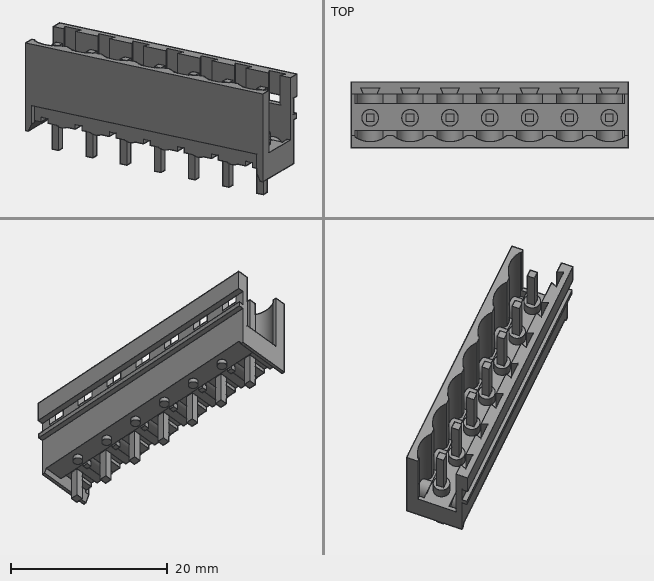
import cadquery as cq


length = 35.35
depth = 8.4
height = 12.0
floor_top = 3.5
half_length = length / 2

front_wall = 1.55
back_wall_inner = 6.82
back_face = 7.65
lip_bottom = 8.95
rib_bottom = 5.98
rib_height = 0.7
rib_reach = 8.3

pole_count = 7
end_margin = 2.45
pitch = (length - 2 * end_margin) / (pole_count - 1)
pole_positions = [pitch * (i - (pole_count - 1) / 2) for i in range(pole_count)]
gap_positions = [x + pitch / 2 for x in pole_positions[:-1]]
pin_y = 3.82
pin_width = 1.0
pin_bottom = -3.22
pin_top = 11.05
collar_diameter = 2.12
collar_top = 5.0

keyway_bottom = 7.95
keyway_mouth = 1.75
keyway_root = 2.4

channel_half_length = 17.2
channel_bottom = 2.12
front_channel_end = 2.23
back_channel_start = 5.65
hump_half_foot = 1.65
hump_half_shoulder = 1.25
hump_shoulder = 2.8
hump_top = 3.45

scallop_root = 0.78
scallop_shoulder = 1.27
scallop_half_arc = 1.77
scallop_half_mouth = 2.15

recess_depth = 0.65
recess_top = 3.6
recess_half_length = 16.75
underside = 1.38
foot_width = 0.4
foot_root_width = 1.05
bar_front = 4.95
bar_bottom = 0.65
slot_top = 2.0
ridge_half_width = 0.8
ridge_sag = 0.2
standoff_diameter = 1.25
key_width = 0.7
key_bottom = 0.3
key_length = 0.7


def box(x_size, y_range, z_range, x_centre=0.0):
    """Block centred on x_centre, spanning the given Y and Z ranges."""
    y_min, y_max = y_range
    z_min, z_max = z_range
    block = cq.Workplane("XY").box(x_size, y_max - y_min, z_max - z_min, centered=(True, False, False))
    return block.translate((x_centre, y_min, z_min))


def along_y(profile, y_range):
    """Extrude an XZ profile, drawn at Y = 0, over a Y range."""
    y_min, y_max = y_range
    return profile.extrude(y_min - y_max).translate((0, y_min, 0))


def channel_body():
    """U-shaped main section with the lip and rib on the back wall."""
    outline = [
        (0, 0), (back_face, 0),
        (back_face, rib_bottom), (rib_reach, rib_bottom),
        (rib_reach, rib_bottom + rib_height), (back_face, rib_bottom + rib_height),
        (back_face, lip_bottom), (depth, lip_bottom), (depth, height),
        (back_wall_inner, height), (back_wall_inner, floor_top),
        (front_wall, floor_top), (front_wall, height), (0, height),
    ]
    return cq.Workplane("YZ").polyline(outline).close().extrude(length).translate((-half_length, 0, 0))


def scallop(x):
    """Chamfered round relief in the inner side of the front wall at one pole."""
    profile = (
        cq.Workplane("XY").workplane(offset=channel_bottom)
        .moveTo(x - scallop_half_mouth, front_wall)
        .lineTo(x - scallop_half_arc, scallop_shoulder)
        .threePointArc((x, scallop_root), (x + scallop_half_arc, scallop_shoulder))
        .lineTo(x + scallop_half_mouth, front_wall)
        .close()
    )
    return profile.extrude(height - channel_bottom)


def keyway(x):
    """Dovetail slot cut down through the lip, opening below it."""
    outline = [
        (x - keyway_mouth / 2, back_wall_inner), (x + keyway_mouth / 2, back_wall_inner),
        (x + keyway_root / 2, back_face), (x - keyway_root / 2, back_face),
    ]
    profile = cq.Workplane("XY").workplane(offset=keyway_bottom).polyline(outline).close()
    return profile.extrude(height - keyway_bottom)


def hump(x, y_range):
    """Round-topped bridge standing in a floor channel."""
    profile = (
        cq.Workplane("XZ")
        .moveTo(x - hump_half_foot, channel_bottom)
        .lineTo(x - hump_half_shoulder, hump_shoulder)
        .threePointArc((x, hump_top), (x + hump_half_shoulder, hump_shoulder))
        .lineTo(x + hump_half_foot, channel_bottom)
        .close()
    )
    return along_y(profile, y_range)


def underside_relief(z_top, y_range):
    """Space between the tapered end feet, up to z_top."""
    taper = (foot_root_width - foot_width) / underside
    half_bottom = half_length - foot_width
    half_top = half_bottom - taper * z_top
    outline = [(-half_bottom, 0), (half_bottom, 0), (half_top, z_top), (-half_top, z_top)]
    return along_y(cq.Workplane("XZ").polyline(outline).close(), y_range)


def ridge(x):
    """Shallow rounded ridge under the floor, between two poles."""
    profile = (
        cq.Workplane("XZ")
        .moveTo(x - ridge_half_width, underside)
        .threePointArc((x, underside - ridge_sag), (x + ridge_half_width, underside))
        .close()
    )
    return along_y(profile, (recess_depth, bar_front))


def standoff(x):
    """Round foot under the rear bar."""
    foot = cq.Workplane("XY").circle(standoff_diameter / 2).extrude(bar_bottom)
    return foot.translate((x, (bar_front + back_face) / 2, 0))


def make_pin(x):
    """Straight square pin of one pole."""
    pin_range = (pin_y - pin_width / 2, pin_y + pin_width / 2)
    return box(pin_width, pin_range, (pin_bottom, pin_top), x)


def make_housing():
    """Housing with all of its cuts and additions, pierced for the pins."""
    body = channel_body()

    channel_z = (channel_bottom, floor_top)
    front_channel = (front_wall, front_channel_end)
    back_channel = (back_channel_start, back_wall_inner)
    for y_range in (front_channel, back_channel):
        body = body.cut(box(2 * channel_half_length, y_range, channel_z))
    scallop_limit = box(2 * channel_half_length, (0, front_wall), (channel_bottom, height))
    for x in pole_positions:
        body = body.cut(scallop(x).intersect(scallop_limit))
        body = body.cut(keyway(x))

    body = body.cut(underside_relief(underside, (0, bar_front)))
    body = body.cut(underside_relief(bar_bottom, (bar_front, back_face)))
    body = body.cut(box(2 * recess_half_length, (0, recess_depth), (0, recess_top)))

    for x in pole_positions:
        body = body.union(hump(x, (recess_depth, front_channel_end)))
        body = body.union(hump(x, back_channel))
        collar = cq.Workplane("XY").circle(collar_diameter / 2).extrude(collar_top - floor_top)
        body = body.union(collar.translate((x, pin_y, floor_top)))
        body = body.cut(box(pin_width, (0, pin_y), (0, slot_top), x))
        body = body.cut(make_pin(x))

    for x in gap_positions:
        body = body.union(ridge(x))
        body = body.union(box(key_width, (bar_front - key_length, bar_front), (key_bottom, underside), x))
        body = body.union(standoff(x))
    return body


housing = make_housing()
pins = [make_pin(x) for x in pole_positions]

result = cq.Compound.makeCompound([housing.val(), *[pin.val() for pin in pins]])